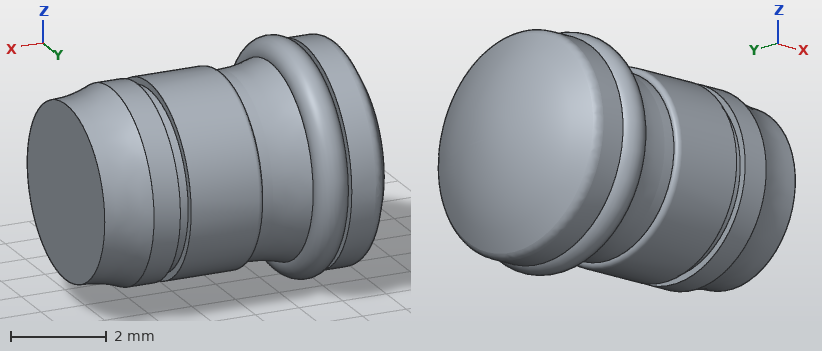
import cadquery as cq
import math

length = 6.86

head_radius = 2.455
dome_radius = 4.42
head_fillet = 0.23
head_end = 1.43

ring_outer_radius = 2.58
ring_section_radius = 0.38
ring_center_radius = ring_outer_radius - ring_section_radius
ring_center_x = head_end + ring_section_radius
seat_radius = ring_center_radius - ring_section_radius
seat_end = head_end + 2 * ring_section_radius

flare_radius = 2.17
flare_end = 3.03
neck_radius = 2.03

collar_start = 3.29
collar_radius = 2.16
collar_fillet = 0.12

groove_start = 4.975
groove_end = 5.22
groove_radius = 2.01

taper_start = 5.825
tail_radius = 1.955


def concave_midpoint(x_high, r_high, x_low, r_low):
    """Middle point of a concave arc that runs parallel to the axis at its low end."""
    run = x_high - x_low
    rise = r_high - r_low
    arc_radius = (run**2 + rise**2) / (2 * rise)
    half_angle = math.asin(run / arc_radius) / 2
    return (
        x_low + arc_radius * math.sin(half_angle),
        r_low + arc_radius * (1 - math.cos(half_angle)),
    )


def dome_x(radius):
    """Axial position of the dome surface at a given distance from the axis."""
    return dome_radius - math.sqrt(dome_radius**2 - radius**2)


def revolve_about_x(profile):
    return profile.revolve(360, (0, 0, 0), (1, 0, 0))


def make_plug():
    dome_edge = (dome_x(head_radius), head_radius)
    dome_middle = (dome_x(head_radius / 2), head_radius / 2)
    flare_middle = concave_midpoint(seat_end, flare_radius, flare_end, neck_radius)
    taper_middle = concave_midpoint(taper_start, collar_radius, length, tail_radius)

    profile = (
        cq.Workplane("XY")
        .moveTo(0, 0)
        .threePointArc(dome_middle, dome_edge)
        .lineTo(head_end, head_radius)
        .lineTo(head_end, seat_radius)
        .lineTo(seat_end, seat_radius)
        .lineTo(seat_end, flare_radius)
        .threePointArc(flare_middle, (flare_end, neck_radius))
        .lineTo(collar_start, neck_radius)
        .lineTo(collar_start, collar_radius)
        .lineTo(groove_start, collar_radius)
        .lineTo(groove_start, groove_radius)
        .lineTo(groove_end, groove_radius)
        .lineTo(groove_end, collar_radius)
        .lineTo(taper_start, collar_radius)
        .threePointArc(taper_middle, (length, tail_radius))
        .lineTo(length, 0)
        .close()
    )
    plug = revolve_about_x(profile)
    plug = round_rim(plug, dome_edge, head_fillet)
    return round_rim(plug, (collar_start, collar_radius), collar_fillet)


def round_rim(body, rim_point, fillet_radius):
    """Fillet the circular edge that passes through a point of the profile."""
    x, radius = rim_point
    rim = cq.selectors.BoxSelector(
        (x - fillet_radius / 2, -radius, -radius),
        (x + fillet_radius / 2, radius, radius),
    )
    outer_circle = cq.selectors.RadiusNthSelector(-1)
    return body.edges("%CIRCLE").edges(rim).edges(outer_circle).fillet(fillet_radius)


def make_o_ring():
    section = (
        cq.Workplane("XY")
        .center(ring_center_x, ring_center_radius)
        .circle(ring_section_radius)
    )
    return section.revolve(360, (0, -ring_center_radius, 0), (1, -ring_center_radius, 0))


plug = make_plug()
o_ring = make_o_ring()

result = cq.Compound.makeCompound([plug.val(), o_ring.val()])